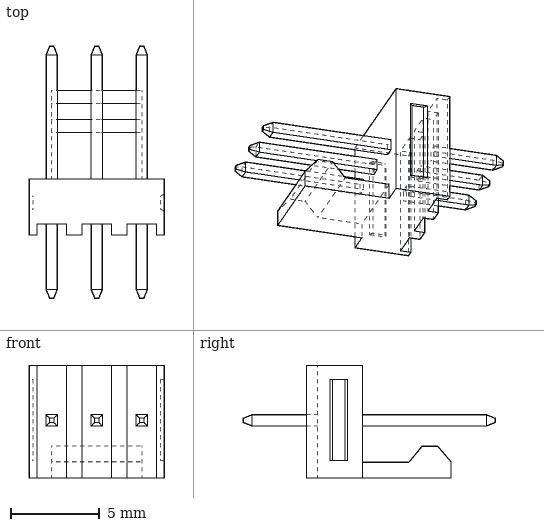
import cadquery as cq


pin_count = 3
pitch = 2.54
pin_size = 0.64
pin_height = 3.25
pin_rear_reach = 7.48
pin_front_reach = 3.56
tip_length = 0.5
tip_size = 0.24

housing_width = pin_count * pitch
housing_depth = 3.18
housing_height = 6.35
groove_width = 1.65
groove_depth = 0.62

recess_length = 1.0
recess_height = 4.56
recess_bottom = 0.98
recess_rear_gap = 0.85
recess_depth = 0.22
recess_wall_taper = 0.15

latch_width = (pin_count - 1) * pitch
latch_length = 4.98
latch_thickness = 0.89
latch_end_height = 0.92
latch_peak_height = 1.80
latch_ramp_run = 0.75
latch_peak_length = 0.88

pin_positions = [(i - (pin_count - 1) / 2) * pitch for i in range(pin_count)]


def make_housing():
    """Block with a full-height groove around each pin in its front face."""
    block = cq.Workplane("XY").box(
        housing_width, housing_depth, housing_height, centered=(True, False, False)
    ).translate((0, -housing_depth, 0))
    for x in pin_positions:
        groove = cq.Workplane("XY").box(
            groove_width, groove_depth, housing_height, centered=(True, False, False)
        ).translate((x, -housing_depth, 0))
        block = block.cut(groove)
    return block


def make_left_recess():
    """Recess in the -X end, with leaning side walls and square top and bottom."""
    mouth_x = -housing_width / 2
    floor_x = mouth_x + recess_depth
    rear_y = -recess_rear_gap
    front_y = rear_y - recess_length
    return (
        cq.Workplane("XY", origin=(0, 0, recess_bottom))
        .moveTo(mouth_x, front_y)
        .lineTo(floor_x, front_y + recess_wall_taper)
        .lineTo(floor_x, rear_y - recess_wall_taper)
        .lineTo(mouth_x, rear_y)
        .close()
        .extrude(recess_height)
    )


def make_latch():
    """Flat tongue with a ramped catch at its rear end."""
    peak_start = latch_length - latch_ramp_run
    peak_end = peak_start - latch_peak_length
    return (
        cq.Workplane("YZ", origin=(-latch_width / 2, 0, 0))
        .moveTo(0, 0)
        .lineTo(latch_length, 0)
        .lineTo(latch_length, latch_end_height)
        .lineTo(peak_start, latch_peak_height)
        .lineTo(peak_end, latch_peak_height)
        .lineTo(peak_end - latch_ramp_run, latch_thickness)
        .lineTo(0, latch_thickness)
        .close()
        .extrude(latch_width)
    )


def make_tip(start_y, end_y):
    """Square pyramid frustum on the pin axis, narrowing from start_y to end_y."""
    return (
        cq.Workplane("XZ", origin=(0, start_y, pin_height))
        .rect(pin_size, pin_size)
        .workplane(offset=start_y - end_y)
        .rect(tip_size, tip_size)
        .loft(ruled=True)
    )


def make_pin():
    """Square pin at X = 0 with a tapered tip at both ends."""
    rear_end = pin_rear_reach
    front_end = -housing_depth - pin_front_reach
    shank_rear = rear_end - tip_length
    shank_front = front_end + tip_length
    shank = (
        cq.Workplane("XZ", origin=(0, shank_rear, pin_height))
        .rect(pin_size, pin_size)
        .extrude(shank_rear - shank_front)
    )
    return shank.union(make_tip(shank_rear, rear_end)).union(make_tip(shank_front, front_end))


left_recess = make_left_recess()
result = make_housing().cut(left_recess).cut(left_recess.mirror("YZ"))
result = result.union(make_latch())
pin = make_pin()
for pin_x in pin_positions:
    result = result.union(pin.translate((pin_x, 0, 0)))